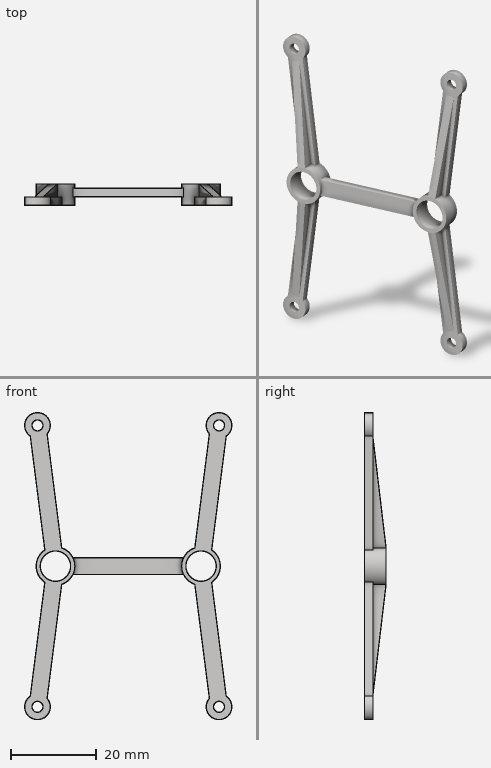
import cadquery as cq
import math

height = 71.75
width = 48.4
depth = 5.0

lug_diameter = 6.0
lug_hole_diameter = 2.5
plate_thickness = 2.0
lug_x = (width - lug_diameter) / 2
lug_z = (height - lug_diameter) / 2

hub_spacing = 34.0
hub_diameter = 9.05
bore_diameter = 7.0
hub_x = hub_spacing / 2

arm_width = 4.0
rib_width = 2.0
crossbar_height = 4.0
crossbar_thickness = 2.0
crossbar_start_y = 2.0

arm_lean = math.degrees(math.atan2(lug_x - hub_x, lug_z))
arm_length = math.hypot(lug_x - hub_x, lug_z)
rib_inner_end = hub_diameter / 2
rib_outer_end = arm_length - lug_diameter / 2


def cylinder(x, z, diameter, length):
    """Cylinder along +Y that starts on the front face, Y = 0."""
    return cq.Workplane("XZ", origin=(x, 0, z)).circle(diameter / 2).extrude(-length)


def ribbed_arm():
    """Flat arm with a tapering back rib, from the right hub to the upper right lug."""
    plate = cq.Workplane("XY").box(
        arm_width, plate_thickness, arm_length, centered=(True, False, False)
    )
    rib_profile = [
        (plate_thickness, 0),
        (depth, 0),
        (depth, rib_inner_end),
        (plate_thickness, rib_outer_end),
    ]
    rib = cq.Workplane("YZ").polyline(rib_profile).close().extrude(rib_width / 2, both=True)
    arm = plate.union(rib)
    return arm.rotate((0, 0, 0), (0, 1, 0), arm_lean).translate((hub_x, 0, 0))


body = cq.Workplane("XY").box(
    hub_spacing, crossbar_thickness, crossbar_height, centered=(True, False, True)
).translate((0, crossbar_start_y, 0))

right_arm = ribbed_arm()
right_arms = right_arm.union(right_arm.mirror("XY"))
body = body.union(right_arms).union(right_arms.mirror("YZ"))

for side in (-1, 1):
    body = body.union(cylinder(side * hub_x, 0, hub_diameter, depth))
    for end in (-1, 1):
        body = body.union(cylinder(side * lug_x, end * lug_z, lug_diameter, plate_thickness))

for side in (-1, 1):
    body = body.cut(cylinder(side * hub_x, 0, bore_diameter, depth))
    for end in (-1, 1):
        body = body.cut(cylinder(side * lug_x, end * lug_z, lug_hole_diameter, plate_thickness))

result = body